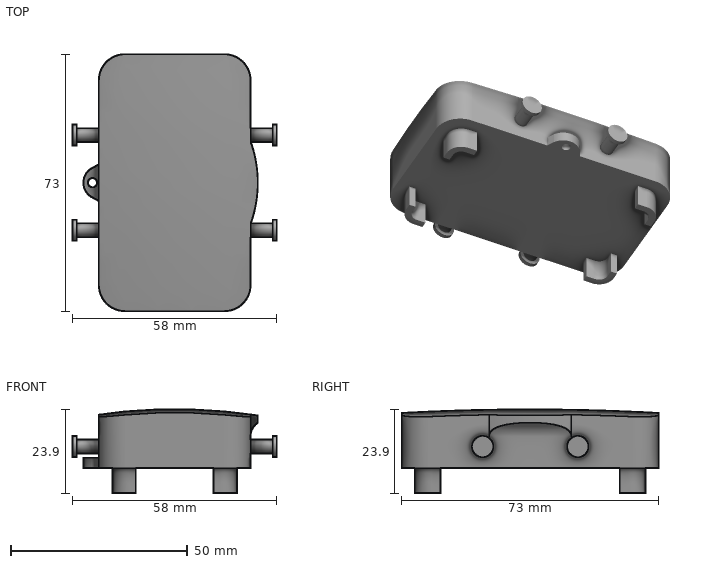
import cadquery as cq
import math

BODY_WIDTH = 43.15
BODY_LENGTH = 73.0
CORNER_RADIUS = 7.5
CREST_HEIGHT = 16.8
DROP_ACROSS = 1.5
DROP_ALONG = 1.0
DOME_MARGIN = 4.4
HALF_WIDTH = BODY_WIDTH / 2
HALF_LENGTH = BODY_LENGTH / 2

FOOT_HEIGHT = 7.1
FOOT_INSET_X = 3.9
FOOT_INSET_Y = 3.7
FOOT_SIZE_X = 6.7
FOOT_SIZE_Y = 7.4
FOOT_RADIUS = 4.6
FOOT_WALL = 2.0

PIN_SPAN = 58.0
PIN_SPACING = 27.0
PIN_HEIGHT = 6.1
PIN_DIAMETER = 4.0
COLLAR_DIAMETER = 6.05
COLLAR_THICKNESS = 1.25

TAB_THICKNESS = 3.0
TAB_RADIUS = 4.75
TAB_REACH = 4.4
TAB_ROOT_HALF_WIDTH = 5.2
TAB_TANGENT_Y = 4.0
TAB_HOLE_DIAMETER = 2.55
TAB_HOLE_OFFSET = 1.75

LIP_REACH = 2.05
LIP_HALF_LENGTH = 11.7
LIP_EDGE_BOTTOM = 12.9
LIP_ROOT_BOTTOM = 9.1


def arc_radius(half_chord, rise):
    """Radius of the arc with the given half chord and rise."""
    return (half_chord**2 + rise**2) / (2 * rise)


def domed_envelope():
    """Crowned profile across X, revolved about an axis parallel to X far below the part."""
    across = arc_radius(HALF_WIDTH, DROP_ACROSS)
    along = arc_radius(HALF_LENGTH, DROP_ALONG)
    half_span = HALF_WIDTH + DOME_MARGIN

    def crown(x):
        return CREST_HEIGHT - across + math.sqrt(across**2 - x**2)

    floor = -FOOT_HEIGHT
    axis_z = CREST_HEIGHT - along
    sweep = 2 * math.degrees(math.asin((HALF_LENGTH + DOME_MARGIN) / along))
    profile = (
        cq.Workplane("XZ")
        .moveTo(-half_span, floor)
        .lineTo(-half_span, crown(half_span))
        .threePointArc((-half_span / 2, crown(half_span / 2)), (0, CREST_HEIGHT))
        .threePointArc((half_span / 2, crown(half_span / 2)), (half_span, crown(half_span)))
        .lineTo(half_span, floor)
        .close()
    )
    dome = profile.revolve(sweep, (0, axis_z, 0), (1, axis_z, 0))
    return dome.rotate((0, 0, axis_z), (1, 0, axis_z), -sweep / 2)


def body_block():
    block = cq.Workplane("XY").rect(BODY_WIDTH, BODY_LENGTH).extrude(CREST_HEIGHT)
    return block.edges("|Z").fillet(CORNER_RADIUS)


def lip_block():
    """Bow-shaped bulge in plan, undercut by a concave arc tangent to the wall."""
    plan = (
        cq.Workplane("XY")
        .moveTo(HALF_WIDTH, -LIP_HALF_LENGTH)
        .threePointArc((HALF_WIDTH + LIP_REACH, 0), (HALF_WIDTH, LIP_HALF_LENGTH))
        .lineTo(0, LIP_HALF_LENGTH)
        .lineTo(0, -LIP_HALF_LENGTH)
        .close()
        .extrude(CREST_HEIGHT)
    )
    section = (
        cq.Workplane("XZ")
        .moveTo(0, LIP_ROOT_BOTTOM)
        .lineTo(HALF_WIDTH, LIP_ROOT_BOTTOM)
        .radiusArc(
            (HALF_WIDTH + LIP_REACH, LIP_EDGE_BOTTOM),
            arc_radius(LIP_EDGE_BOTTOM - LIP_ROOT_BOTTOM, LIP_REACH),
        )
        .lineTo(HALF_WIDTH + LIP_REACH, CREST_HEIGHT)
        .lineTo(0, CREST_HEIGHT)
        .close()
        .extrude(LIP_HALF_LENGTH, both=True)
    )
    return plan.intersect(section)


def foot(side_x, side_y):
    """L-shaped corner foot: two walls joined by a rounded outward corner."""
    center_x = HALF_WIDTH - FOOT_INSET_X - FOOT_SIZE_X / 2
    center_y = HALF_LENGTH - FOOT_INSET_Y - FOOT_SIZE_Y / 2
    block = (
        cq.Workplane("XY")
        .center(center_x, center_y)
        .rect(FOOT_SIZE_X, FOOT_SIZE_Y)
        .extrude(-FOOT_HEIGHT)
        .edges("|Z and >X and >Y")
        .fillet(FOOT_RADIUS)
    )
    hollow = (
        cq.Workplane("XY")
        .center(center_x - FOOT_WALL, center_y - FOOT_WALL)
        .rect(FOOT_SIZE_X, FOOT_SIZE_Y)
        .extrude(-FOOT_HEIGHT)
        .edges("|Z and >X and >Y")
        .fillet(FOOT_RADIUS - FOOT_WALL)
    )
    block = block.cut(hollow)
    if side_x < 0:
        block = block.mirror("YZ")
    if side_y < 0:
        block = block.mirror("XZ")
    return block


def pin(y):
    """Bar across the body with a collar at each end."""
    start = cq.Workplane("YZ", origin=(-PIN_SPAN / 2, y, PIN_HEIGHT))
    bar = start.circle(PIN_DIAMETER / 2).extrude(PIN_SPAN)
    near_collar = start.circle(COLLAR_DIAMETER / 2).extrude(COLLAR_THICKNESS)
    far_collar = near_collar.mirror("YZ")
    return bar.union(near_collar).union(far_collar)


def eyelet():
    """Round-nosed tab with straight flanks and a vertical hole."""
    tip_x = -HALF_WIDTH - TAB_REACH
    tangent_x = tip_x + TAB_RADIUS - math.sqrt(TAB_RADIUS**2 - TAB_TANGENT_Y**2)
    tab = (
        cq.Workplane("XY")
        .moveTo(-HALF_WIDTH, -TAB_ROOT_HALF_WIDTH)
        .lineTo(tangent_x, -TAB_TANGENT_Y)
        .threePointArc((tip_x, 0), (tangent_x, TAB_TANGENT_Y))
        .lineTo(-HALF_WIDTH, TAB_ROOT_HALF_WIDTH)
        .close()
        .extrude(TAB_THICKNESS)
    )
    hole = (
        cq.Workplane("XY")
        .center(-HALF_WIDTH - TAB_HOLE_OFFSET, 0)
        .circle(TAB_HOLE_DIAMETER / 2)
        .extrude(TAB_THICKNESS)
    )
    return tab.cut(hole)


result = body_block().union(lip_block()).intersect(domed_envelope())
for side in (-1, 1):
    result = result.union(pin(side * PIN_SPACING / 2))
    for end in (-1, 1):
        result = result.union(foot(side, end))
result = result.union(eyelet())